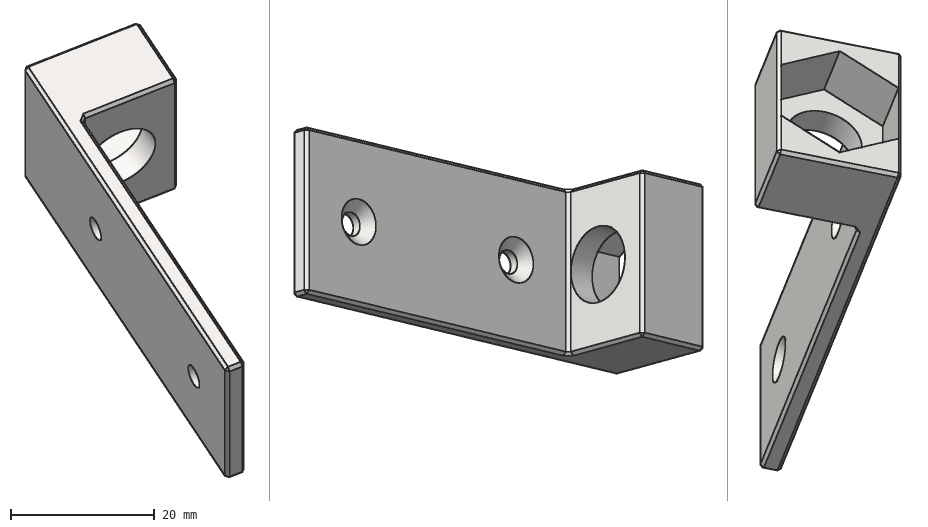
import cadquery as cq
import math

length = 62.0
depth = 18.0
height = 24.0
block_length = 12.0
plate_thickness = 3.0
edge_chamfer = 0.5

bore_diameter = 11.0
nut_sides = 6
nut_across_flats = depth - 2 * edge_chamfer
nut_corner_radius = nut_across_flats / 2 / math.cos(math.pi / nut_sides)
nut_seat_depth = 8.0

screw_hole_diameter = 3.4
screw_hole_spacing = 30.0
first_screw_hole_x = 22.0
countersink_diameter = 6.6
countersink_angle = 90


def bracket_body():
    """L-shaped block and plate with every edge chamfered, the inner corner included."""
    block = cq.Workplane("XY").box(block_length, depth, height, centered=False)
    plate = cq.Workplane("XY").box(length, plate_thickness, height, centered=False)
    return block.union(plate).edges().chamfer(edge_chamfer)


def block_end_plane():
    """Workplane on the -X face, centred on the block and facing +X."""
    return cq.Workplane("YZ", origin=(0, depth / 2, height / 2))


def nut_seat():
    """Hexagonal pocket with corners pointing up and down."""
    corner_angles = [2 * math.pi * i / nut_sides for i in range(nut_sides)]
    corners = [
        (nut_corner_radius * math.sin(angle), nut_corner_radius * math.cos(angle))
        for angle in corner_angles
    ]
    return block_end_plane().polyline(corners).close().extrude(nut_seat_depth)


def bolt_bore():
    """Round hole through the whole length of the block."""
    return block_end_plane().circle(bore_diameter / 2).extrude(block_length)


def drill_screw_holes(body):
    """Drill the plate from its +Y face, with the countersinks on that face."""
    plate_back = cq.Plane(
        origin=(first_screw_hole_x, plate_thickness, height / 2),
        xDir=(-1, 0, 0),
        normal=(0, 1, 0),
    )
    centres = [(0, 0), (-screw_hole_spacing, 0)]
    return (
        body.copyWorkplane(cq.Workplane(plate_back))
        .pushPoints(centres)
        .cskHole(screw_hole_diameter, countersink_diameter, countersink_angle)
    )


bored_body = bracket_body().cut(nut_seat()).cut(bolt_bore())
result = drill_screw_holes(bored_body)